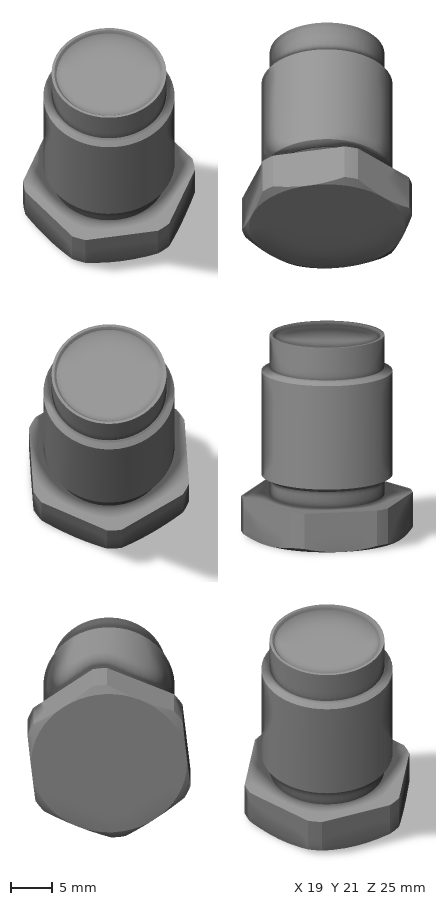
import cadquery as cq
import math

total_height = 25.0
hex_height = 5.0
hex_across_flats = 19.0
hex_corner_diameter = 21.0
body_diameter = 16.0
neck_diameter = 14.0
neck_height = 2.0
spigot_height = 4.0
body_chamfer_depth = 0.88
chamfer_angle = math.radians(30)
recess_rim_diameter = 13.35
recess_floor_diameter = 12.8
recess_depth = 0.3

body_bottom = hex_height + neck_height
body_top = total_height - spigot_height
body_radius = body_diameter / 2
neck_radius = neck_diameter / 2
body_end_radius = body_radius - body_chamfer_depth
body_chamfer_height = body_chamfer_depth * math.tan(chamfer_angle)
hex_flat_radius = hex_across_flats / 2
hex_corner_radius = hex_corner_diameter / 2
hex_chamfer_height = (hex_corner_radius - hex_flat_radius) * math.tan(chamfer_angle)


def revolve_profile(points):
    """Revolve (radius, height) points around the Z axis."""
    return cq.Workplane("XZ").polyline(points).close().revolve(360, (0, 0, 0), (0, 1, 0))


def make_hex_head():
    """Hexagon with flats facing +X and -X, rounded corners and a conical lower chamfer."""
    corner_to_corner = hex_across_flats / math.cos(math.radians(30))
    prism = cq.Workplane("XY").polygon(6, corner_to_corner).extrude(hex_height)
    prism = prism.rotate((0, 0, 0), (0, 0, 1), 30)
    turned_blank = revolve_profile([
        (0, 0),
        (hex_flat_radius, 0),
        (hex_corner_radius, hex_chamfer_height),
        (hex_corner_radius, hex_height),
        (0, hex_height),
    ])
    return prism.intersect(turned_blank)


def make_stem():
    """Lower neck, wide body chamfered at both ends, and upper spigot."""
    return revolve_profile([
        (0, hex_height),
        (neck_radius, hex_height),
        (neck_radius, body_bottom),
        (body_end_radius, body_bottom),
        (body_radius, body_bottom + body_chamfer_height),
        (body_radius, body_top - body_chamfer_height),
        (body_end_radius, body_top),
        (neck_radius, body_top),
        (neck_radius, total_height),
        (0, total_height),
    ])


def make_top_recess():
    """Shallow dish with a conical wall, sunk into the top of the spigot."""
    floor_height = total_height - recess_depth
    return revolve_profile([
        (0, floor_height),
        (recess_floor_diameter / 2, floor_height),
        (recess_rim_diameter / 2, total_height),
        (0, total_height),
    ])


result = make_hex_head().union(make_stem()).cut(make_top_recess())